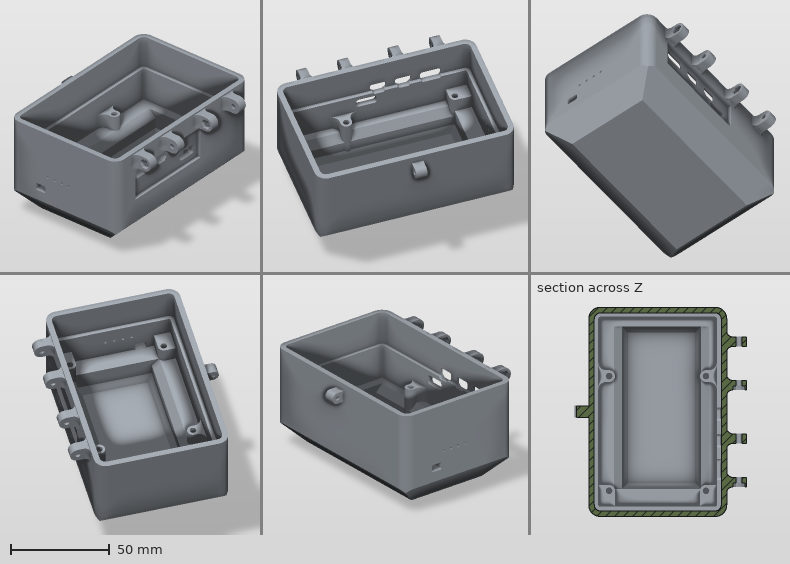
import cadquery as cq
import math

BOX_X = 70.0
BOX_Y = 106.0
BOX_Z = 54.0
BOX_CORNER_R = 6.0
BEVEL_HEIGHT = 12.4
BEVEL_INSET_X = BEVEL_HEIGHT
BEVEL_INSET_Y = 10.35

UPPER_WALL = 3.0
LEDGE_WIDTH = 2.0
LOWER_WALL = UPPER_WALL + LEDGE_WIDTH
UPPER_X = BOX_X - 2 * UPPER_WALL
UPPER_Y = BOX_Y - 2 * UPPER_WALL
UPPER_CORNER_R = BOX_CORNER_R - UPPER_WALL
LOWER_X = BOX_X - 2 * LOWER_WALL
LOWER_Y = BOX_Y - 2 * LOWER_WALL
LOWER_CORNER_R = UPPER_CORNER_R - LEDGE_WIDTH
LEDGE_Z = 36.5
CAVITY_FLOOR_Z = 18.0

WELL_CENTER = (2.0, 2.0)
WELL_FLOOR_X = 34.0
WELL_FLOOR_Y = 76.0
WELL_FLOOR_Z = 5.0
WELL_FLOOR_BEVEL = 3.0
WELL_X = WELL_FLOOR_X + 2 * WELL_FLOOR_BEVEL
WELL_Y = WELL_FLOOR_Y + 2 * WELL_FLOOR_BEVEL
WELL_TOP_BEVEL = 4.0

POST_X = 24.5
POST_FRONT_Y = -40.0
POST_BACK_Y = 18.0
POST_R = 3.0
POST_TOP_Z = 26.0
POST_HOLE_D = 3.3
POST_FILLET_R = 4.0

LED_HOLE_D = 1.4
LED_PITCH = 4.55
LED_COUNT = 4
LED_CENTER_X = -3.0
LED_Z = 28.1
SWITCH_X = -14.5
SWITCH_Z = 20.1
SWITCH_WIDTH = 6.0
SWITCH_HEIGHT = 4.0
SWITCH_CORNER_R = 0.8

WIDE_SLOT_LENGTH = 11.0
WIDE_SLOT_HEIGHT = 5.0
WIDE_SLOT_CORNER_R = 1.5
WIDE_SLOT_CENTERS = ((-29.3, 38.1), (5.3, 31.6))
USB_WIDTH = 8.4
USB_BOTTOM_WIDTH = 4.8
USB_HEIGHT = 5.0
USB_SIDE_HEIGHT = 3.2
USB_CORNER_R = 1.0
USB_CENTERS_Y = (-1.4, -14.8)
USB_BOTTOM_Z = 35.5

RECESS_DEPTH = 2.0
RECESS_MIN_Y = -38.0
RECESS_MAX_Y = 14.0
RECESS_MIN_Z = 25.5
RECESS_MAX_Z = 43.5

HINGE_LUG_YS = (35.5, 13.5, -13.5, -35.5)
NUT_LUG_YS = (13.5, -35.5)
HINGE_LUG_WIDTH = 5.0
HINGE_LUG_R = 4.0
HINGE_REACH = 6.0
HINGE_Z = 49.0
HINGE_HOLE_D = 2.75
HINGE_FLARE_LENGTH = 3.0
HINGE_FLARE_R = 3.3
HINGE_FOOT = 0.7
NUT_ACROSS_FLATS = 5.0
NUT_DEPTH = 2.0

LATCH_WIDTH = 6.0
LATCH_R = 3.0
LATCH_REACH = 4.0
LATCH_Z = 47.0
LATCH_HOLE_D = 2.4


def block(size_x, size_y, bottom_z, top_z, center=(0, 0)):
    """Rectangular block between two heights."""
    height = top_z - bottom_z
    return (
        cq.Workplane("XY", origin=(center[0], center[1], bottom_z))
        .rect(size_x, size_y)
        .extrude(height)
    )


def frustum(bottom_size, top_size, bottom_z, top_z, center=(0, 0)):
    """Block with flat sloping sides between two rectangles."""
    return (
        cq.Workplane("XY", origin=(center[0], center[1], bottom_z))
        .rect(*bottom_size)
        .workplane(offset=top_z - bottom_z)
        .rect(*top_size)
        .loft(ruled=True)
    )


def make_body():
    """Rounded box with its lower edges bevelled on all four sides."""
    body = block(BOX_X, BOX_Y, 0, BOX_Z).edges("|Z").fillet(BOX_CORNER_R)
    base_size = (BOX_X - 2 * BEVEL_INSET_X, BOX_Y - 2 * BEVEL_INSET_Y)
    envelope = frustum(base_size, (BOX_X, BOX_Y), 0, BEVEL_HEIGHT)
    envelope = envelope.union(block(BOX_X, BOX_Y, BEVEL_HEIGHT, BOX_Z))
    return body.intersect(envelope)


def make_cavity():
    """Stepped main cavity, open at the top."""
    upper = block(UPPER_X, UPPER_Y, LEDGE_Z, BOX_Z).edges("|Z").fillet(UPPER_CORNER_R)
    lower = block(LOWER_X, LOWER_Y, CAVITY_FLOOR_Z, BOX_Z).edges("|Z").fillet(LOWER_CORNER_R)
    return upper.union(lower)


def make_well():
    """Battery well: bevelled floor, straight walls, long sides opening outward at the top."""
    wall_bottom_z = WELL_FLOOR_Z + WELL_FLOOR_BEVEL
    wall_top_z = CAVITY_FLOOR_Z - WELL_TOP_BEVEL
    floor_size = (WELL_FLOOR_X, WELL_FLOOR_Y)
    wall_size = (WELL_X, WELL_Y)
    mouth_size = (WELL_X + 2 * WELL_TOP_BEVEL, WELL_Y)
    floor_part = frustum(floor_size, wall_size, WELL_FLOOR_Z, wall_bottom_z, WELL_CENTER)
    straight = block(WELL_X, WELL_Y, wall_bottom_z, wall_top_z, WELL_CENTER)
    mouth = frustum(wall_size, mouth_size, wall_top_z, CAVITY_FLOOR_Z, WELL_CENTER)
    return floor_part.union(straight).union(mouth)


def back_post(side):
    """Post on a rib that flares into the side wall; side is +1 or -1."""
    wall_x = LOWER_X / 2
    flare_x = wall_x - POST_FILLET_R
    flare_y = POST_R + POST_FILLET_R
    mid = POST_FILLET_R * (1 - math.sqrt(0.5))
    outline = (
        cq.Workplane("XY")
        .moveTo(wall_x, -flare_y)
        .threePointArc((wall_x - mid, -POST_R - mid), (flare_x, -POST_R))
        .lineTo(POST_X, -POST_R)
        .threePointArc((POST_X - POST_R, 0), (POST_X, POST_R))
        .lineTo(flare_x, POST_R)
        .threePointArc((wall_x - mid, POST_R + mid), (wall_x, flare_y))
        .close()
    )
    post = outline.extrude(POST_TOP_Z).translate((0, POST_BACK_Y, 0))
    return post if side > 0 else post.mirror("YZ")


def front_post(side):
    """Post filling the cavity corner, with one rounded edge; side is +1 or -1."""
    inner_x = POST_X - POST_R
    back_y = POST_FRONT_Y + POST_R
    size_x = UPPER_X / 2 - inner_x
    size_y = back_y + UPPER_Y / 2
    center = (inner_x + size_x / 2, back_y - size_y / 2)
    post = block(size_x, size_y, 0, POST_TOP_Z, center)
    post = post.edges("|Z and <X and >Y").fillet(POST_R)
    return post if side > 0 else post.mirror("YZ")


def add_posts(body, outer):
    """Add the four screw posts, trimmed to the outer shape, with blind holes."""
    for side in (1, -1):
        body = body.union(back_post(side).union(front_post(side)).intersect(outer))
    spots = [(side * POST_X, y) for side in (1, -1) for y in (POST_FRONT_Y, POST_BACK_Y)]
    holes = (
        cq.Workplane("XY", origin=(0, 0, CAVITY_FLOOR_Z))
        .pushPoints(spots)
        .circle(POST_HOLE_D / 2)
        .extrude(POST_TOP_Z - CAVITY_FLOOR_Z)
    )
    return body.cut(holes)


def front_wall_cutter():
    """Row of light holes and the switch window, through the front wall only."""
    plane = cq.Workplane("XZ", origin=(0, -BOX_Y / 2, 0))
    first_x = LED_CENTER_X - LED_PITCH * (LED_COUNT - 1) / 2
    spots = [(first_x + i * LED_PITCH, LED_Z) for i in range(LED_COUNT)]
    lights = plane.pushPoints(spots).circle(LED_HOLE_D / 2).extrude(-LOWER_WALL)
    window = plane.center(SWITCH_X, SWITCH_Z).rect(SWITCH_WIDTH, SWITCH_HEIGHT).extrude(-LOWER_WALL)
    window = window.edges("|Y").fillet(SWITCH_CORNER_R)
    return lights.union(window)


def side_wall_cutter():
    """Wide slots and USB shaped openings through the +X wall, with their outer recess."""
    plane = cq.Workplane("YZ", origin=(BOX_X / 2 - LOWER_WALL, 0, 0))
    cutter = plane.pushPoints(WIDE_SLOT_CENTERS).rect(WIDE_SLOT_LENGTH, WIDE_SLOT_HEIGHT).extrude(LOWER_WALL)
    cutter = cutter.edges("|X").fillet(WIDE_SLOT_CORNER_R)
    half = USB_WIDTH / 2
    half_bottom = USB_BOTTOM_WIDTH / 2
    shoulder_z = USB_HEIGHT - USB_SIDE_HEIGHT
    for y in USB_CENTERS_Y:
        usb = (
            plane.center(y, USB_BOTTOM_Z)
            .polyline([
                (-half_bottom, 0),
                (half_bottom, 0),
                (half, shoulder_z),
                (half, USB_HEIGHT),
                (-half, USB_HEIGHT),
                (-half, shoulder_z),
            ])
            .close()
            .extrude(LOWER_WALL)
            .edges("|X")
            .fillet(USB_CORNER_R)
        )
        cutter = cutter.union(usb)
    recess_center = (BOX_X / 2 - RECESS_DEPTH / 2, (RECESS_MIN_Y + RECESS_MAX_Y) / 2)
    recess = block(RECESS_DEPTH, RECESS_MAX_Y - RECESS_MIN_Y, RECESS_MIN_Z, RECESS_MAX_Z, recess_center)
    return cutter.union(recess)


def hinge_lug(y, has_nut):
    """Round ended lug with a flared root, a cross hole and optionally a nut pocket."""
    wall_x = BOX_X / 2
    pin_x = wall_x + HINGE_REACH
    half = HINGE_LUG_WIDTH / 2

    bar = (
        cq.Workplane("XZ", origin=(0, y + half, HINGE_Z))
        .moveTo(wall_x - HINGE_FOOT, -HINGE_LUG_R - 2 * HINGE_FOOT)
        .lineTo(wall_x + HINGE_FOOT, -HINGE_LUG_R)
        .lineTo(pin_x, -HINGE_LUG_R)
        .threePointArc((pin_x + HINGE_LUG_R, 0), (pin_x, HINGE_LUG_R))
        .lineTo(wall_x - HINGE_FOOT, HINGE_LUG_R)
        .close()
        .extrude(HINGE_LUG_WIDTH)
    )

    flare_x = wall_x + HINGE_FLARE_LENGTH
    rise = HINGE_FLARE_R - math.sqrt(HINGE_FLARE_R**2 - HINGE_FLARE_LENGTH**2)
    mid_rise = HINGE_FLARE_R - math.sqrt(HINGE_FLARE_R**2 - (HINGE_FLARE_LENGTH / 2) ** 2)
    mid_x = wall_x + HINGE_FLARE_LENGTH / 2
    root = (
        cq.Workplane("XY", origin=(0, y, HINGE_Z - HINGE_LUG_R))
        .moveTo(wall_x, -half - rise)
        .threePointArc((mid_x, -half - mid_rise), (flare_x, -half))
        .lineTo(flare_x, half)
        .threePointArc((mid_x, half + mid_rise), (wall_x, half + rise))
        .close()
        .extrude(2 * HINGE_LUG_R)
    )

    plane = cq.Workplane("XZ", origin=(pin_x, y - half, HINGE_Z))
    lug = bar.union(root).cut(plane.circle(HINGE_HOLE_D / 2).extrude(-HINGE_LUG_WIDTH))
    if has_nut:
        across_corners = NUT_ACROSS_FLATS / math.cos(math.pi / 6)
        lug = lug.cut(plane.polygon(6, across_corners).extrude(-NUT_DEPTH))
    return lug


def latch_lug():
    """Round ended lug with a cross hole on the -X wall."""
    pin_x = -BOX_X / 2 - LATCH_REACH
    plane = cq.Workplane("XZ", origin=(pin_x, LATCH_WIDTH / 2, LATCH_Z))
    eye = plane.circle(LATCH_R).extrude(LATCH_WIDTH)
    arm = plane.center(LATCH_REACH / 2, 0).rect(LATCH_REACH, 2 * LATCH_R).extrude(LATCH_WIDTH)
    hole = plane.circle(LATCH_HOLE_D / 2).extrude(LATCH_WIDTH)
    return eye.union(arm).cut(hole)


outer_body = make_body()
result = outer_body.cut(make_cavity()).cut(make_well())
result = add_posts(result, outer_body)
result = result.cut(front_wall_cutter()).cut(side_wall_cutter())
for lug_y in HINGE_LUG_YS:
    result = result.union(hinge_lug(lug_y, lug_y in NUT_LUG_YS))
result = result.union(latch_lug())